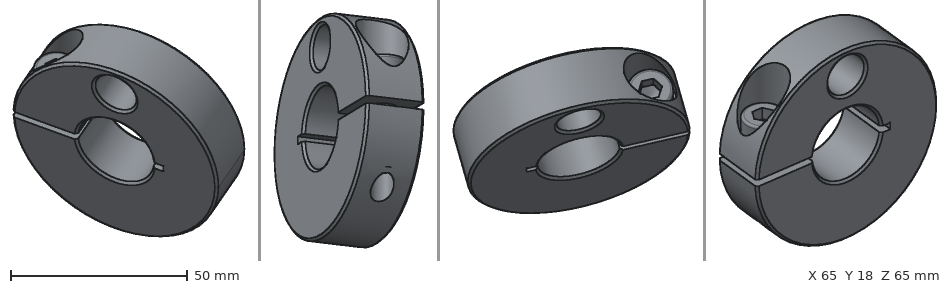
import cadquery as cq
import math

collar_diameter = 65.0
collar_width = 18.0
bore_diameter = 24.0
edge_chamfer = 0.8
side_hole_diameter = 13.0
side_hole_height = 23.45
slot_width = 2.2
slot_end_x = 15.4

screw_x = -23.0
shank_diameter = 8.0
shank_length = 24.5
head_diameter = 13.0
head_height = shank_diameter
head_rounding = 0.8
head_seat_z = 7.0
socket_across_flats = 6.0
socket_depth = head_height / 2
socket_tip_angle = 120.0

counterbore_diameter = 15.0
pilot_hole_diameter = 6.6

collar_radius = collar_diameter / 2
shank_end_z = head_seat_z - shank_length
head_top_z = head_seat_z + head_height


def chamfered_hole_cutter(diameter, height=0.0):
    """Through-hole along Y that flares by the edge chamfer at both faces."""
    hole_radius = diameter / 2
    half_width = collar_width / 2
    return (
        cq.Workplane("XY")
        .moveTo(0, -half_width)
        .lineTo(hole_radius + edge_chamfer, -half_width)
        .lineTo(hole_radius, edge_chamfer - half_width)
        .lineTo(hole_radius, half_width - edge_chamfer)
        .lineTo(hole_radius + edge_chamfer, half_width)
        .lineTo(0, half_width)
        .close()
        .revolve(360, (0, 0, 0), (0, 1, 0))
        .translate((0, 0, height))
    )


def screw_cylinder(diameter, bottom_z, top_z):
    """Cylinder on the screw axis between two heights."""
    return (
        cq.Workplane("XY", origin=(screw_x, 0, bottom_z))
        .circle(diameter / 2)
        .extrude(top_z - bottom_z)
    )


def make_collar():
    disc = cq.Workplane("XZ", origin=(0, collar_width / 2, 0)).circle(collar_radius).extrude(collar_width)
    collar = disc.edges("%CIRCLE").chamfer(edge_chamfer)
    collar = collar.cut(chamfered_hole_cutter(bore_diameter))
    collar = collar.cut(chamfered_hole_cutter(side_hole_diameter, side_hole_height))

    slot_length = collar_radius + slot_end_x
    slot = cq.Workplane("XY").box(slot_length, collar_width, slot_width)
    collar = collar.cut(slot.translate((slot_end_x - slot_length / 2, 0, 0)))

    collar = collar.cut(screw_cylinder(counterbore_diameter, head_seat_z, collar_radius))
    collar = collar.cut(screw_cylinder(shank_diameter, shank_end_z, head_seat_z))
    return collar.cut(screw_cylinder(pilot_hole_diameter, -collar_radius, shank_end_z))


def make_socket_cutter():
    """Hexagonal socket with a conical bottom as wide as its corners."""
    corner_radius = socket_across_flats / 2 / math.cos(math.radians(30))
    cone_depth = corner_radius / math.tan(math.radians(socket_tip_angle / 2))
    floor_z = head_top_z - socket_depth
    hexagon = (
        cq.Workplane("XY", origin=(screw_x, 0, floor_z))
        .polygon(6, 2 * corner_radius)
        .extrude(socket_depth)
    )
    cone = cq.Solid.makeCone(
        corner_radius, 0, cone_depth, cq.Vector(screw_x, 0, floor_z), cq.Vector(0, 0, -1)
    )
    return hexagon.union(cq.Workplane(cone))


def make_screw():
    head = screw_cylinder(head_diameter, head_seat_z, head_top_z)
    head = head.faces(">Z").edges().fillet(head_rounding)
    shank = screw_cylinder(shank_diameter, shank_end_z, head_seat_z)
    return head.union(shank).cut(make_socket_cutter())


collar = make_collar()
screw = make_screw()
result = cq.Compound.makeCompound([*collar.solids().vals(), *screw.solids().vals()])